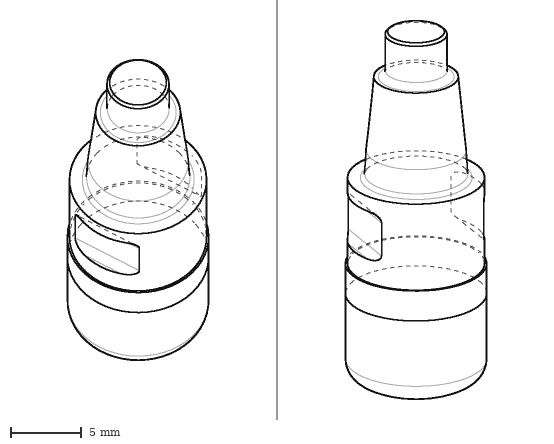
import cadquery as cq
import math

total_height = 27.1
joint_height = 7.0
collar_top = 9.3
barrel_top = 15.9
taper_break_height = 18.02
taper_top = 23.65

cap_diameter = 10.0
barrel_diameter = 9.7
taper_base_diameter = 7.32
taper_break_diameter = 7.1
taper_top_diameter = 6.0
pin_diameter = 4.4
end_face_diameter = 3.41
crown_radius = 5.0
cap_corner_radius = 1.5

pin_chamfer = 0.2
pin_fillet = 0.5
taper_fillet = 0.3

flat_to_flat = 8.05
flat_bottom = 11.08
flat_top = 14.77
flat_corner_radius = 0.57


def make_cap():
    """Revolved cap: a flat end face, then two tangent arcs that lead into a cylindrical wall."""
    end_face_radius = end_face_diameter / 2
    wall_radius = cap_diameter / 2
    corner_center_r = wall_radius - cap_corner_radius
    tangent_angle = math.asin((corner_center_r - end_face_radius) / (crown_radius - cap_corner_radius))
    corner_center_z = crown_radius - (crown_radius - cap_corner_radius) * math.cos(tangent_angle)
    mid_crown_angle = tangent_angle / 2
    mid_corner_angle = (tangent_angle + math.pi / 2) / 2

    def crown_point(angle):
        return end_face_radius + crown_radius * math.sin(angle), crown_radius * (1 - math.cos(angle))

    def corner_point(angle):
        return (
            corner_center_r + cap_corner_radius * math.sin(angle),
            corner_center_z - cap_corner_radius * math.cos(angle),
        )

    return (
        cq.Workplane("XZ")
        .moveTo(0, 0)
        .lineTo(end_face_radius, 0)
        .threePointArc(crown_point(mid_crown_angle), crown_point(tangent_angle))
        .threePointArc(corner_point(mid_corner_angle), (wall_radius, corner_center_z))
        .lineTo(wall_radius, joint_height)
        .lineTo(0, joint_height)
        .close()
        .revolve(360, (0, 0, 0), (0, 1, 0))
    )


def make_stem_blank():
    """Revolved stem: collar, barrel, two-stage taper and chamfered pin, with filleted shoulders."""
    pin_radius = pin_diameter / 2
    taper_base_radius = taper_base_diameter / 2
    arc_offset = 1 - math.sqrt(0.5)
    return (
        cq.Workplane("XZ")
        .moveTo(0, joint_height)
        .lineTo(cap_diameter / 2, joint_height)
        .lineTo(cap_diameter / 2, collar_top)
        .lineTo(barrel_diameter / 2, collar_top)
        .lineTo(barrel_diameter / 2, barrel_top)
        .lineTo(taper_base_radius + taper_fillet, barrel_top)
        .threePointArc(
            (taper_base_radius + taper_fillet * arc_offset, barrel_top + taper_fillet * arc_offset),
            (taper_base_radius, barrel_top + taper_fillet),
        )
        .lineTo(taper_break_diameter / 2, taper_break_height)
        .lineTo(taper_top_diameter / 2, taper_top)
        .lineTo(pin_radius + pin_fillet, taper_top)
        .threePointArc(
            (pin_radius + pin_fillet * arc_offset, taper_top + pin_fillet * arc_offset),
            (pin_radius, taper_top + pin_fillet),
        )
        .lineTo(pin_radius, total_height - pin_chamfer)
        .lineTo(pin_radius - pin_chamfer, total_height)
        .lineTo(0, total_height)
        .close()
        .revolve(360, (0, 0, 0), (0, 1, 0))
    )


def make_flat_cutter(side):
    """Block that mills one wrench flat on the given Y side, with rounded inner corners."""
    cutter_width = cap_diameter
    cutter_depth = barrel_diameter / 2
    inner_face = "<Y" if side > 0 else ">Y"
    return (
        cq.Workplane("XY")
        .box(cutter_width, cutter_depth, flat_top - flat_bottom)
        .faces(inner_face)
        .edges("|X")
        .fillet(flat_corner_radius)
        .translate((0, side * (flat_to_flat + cutter_depth) / 2, (flat_top + flat_bottom) / 2))
    )


def make_stem():
    stem = make_stem_blank()
    for side in (-1, 1):
        stem = stem.cut(make_flat_cutter(side))
    return stem


cap = make_cap()
stem = make_stem()

result = cq.Compound.makeCompound([cap.val(), stem.val()])